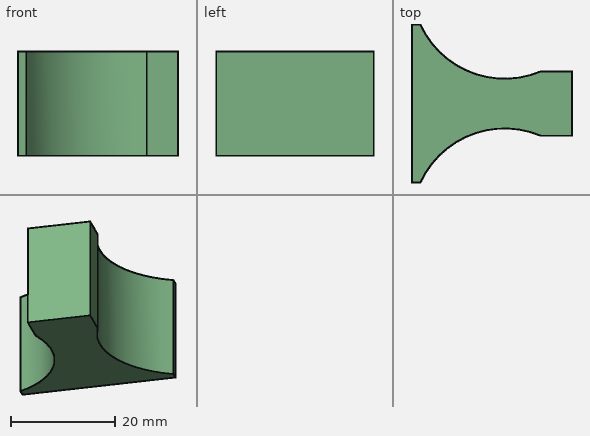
import cadquery as cq

length = 30.65
flange_width = 30.25
height = 20.0

flange_thickness = 1.62
block_length = 6.05
block_width = 12.33
waist_radius = 17.75

flange_face = -length / 2
flange_back = flange_face + flange_thickness
block_end = length / 2
block_start = block_end - block_length
flange_half = flange_width / 2
block_half = block_width / 2

result = (
    cq.Workplane("XY")
    .moveTo(flange_face, -flange_half)
    .lineTo(flange_back, -flange_half)
    .radiusArc((block_start, -block_half), waist_radius)
    .lineTo(block_end, -block_half)
    .lineTo(block_end, block_half)
    .lineTo(block_start, block_half)
    .radiusArc((flange_back, flange_half), waist_radius)
    .lineTo(flange_face, flange_half)
    .close()
    .extrude(height)
)